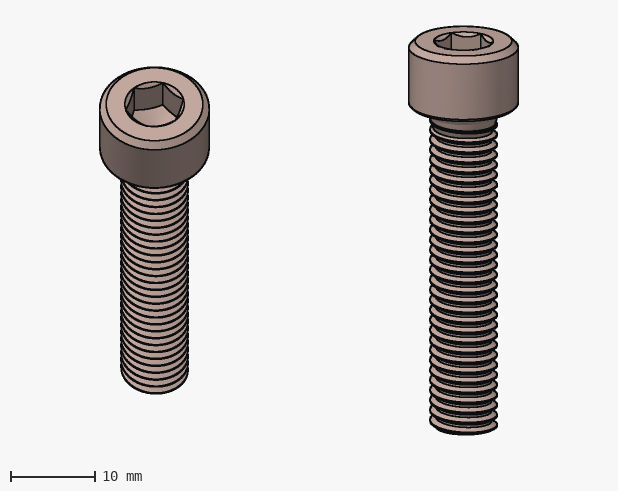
import cadquery as cq
import math

TOTAL_LENGTH = 48.0

HEAD_DIAMETER = 13.0
HEAD_HEIGHT = 8.0
TOP_CHAMFER = 0.75
BOTTOM_CHAMFER = 0.35

SOCKET_FLATS = 6.1
SOCKET_DEPTH = 4.0
SOCKET_TIP_ANGLE = 120.0
MOUTH_ANGLE = 90.0

PITCH = 1.25
CREST_RADIUS = 4.0
ROOT_RADIUS = 3.3
CREST_FLAT = PITCH / 8
FLANK_ANGLE = 30.0
CREST_HEIGHT = 0.65
TURNS_BELOW = 1.5
TURNS_ABOVE = 30.1
ROOT_OVERLAP = 0.15

NECK_TOP_RADIUS = 4.6
WAIST_RADIUS = 4.05
FILLET_DEPTH = 1.15
NECK_DEPTH = 3.35
RUNOUT_BOW = 0.1
FILLET_BOW = 0.025

UNDERHEAD = TOTAL_LENGTH - HEAD_HEIGHT


def make_blank():
    """Head, neck and thread core as one turned body."""
    head_radius = HEAD_DIAMETER / 2
    neck_end = UNDERHEAD - NECK_DEPTH
    fillet_end = UNDERHEAD - FILLET_DEPTH
    return (
        cq.Workplane("XZ")
        .moveTo(0, 0)
        .lineTo(ROOT_RADIUS, 0)
        .lineTo(ROOT_RADIUS, neck_end)
        .sagittaArc((WAIST_RADIUS, fillet_end), -RUNOUT_BOW)
        .sagittaArc((NECK_TOP_RADIUS, UNDERHEAD), FILLET_BOW)
        .lineTo(head_radius - BOTTOM_CHAMFER, UNDERHEAD)
        .lineTo(head_radius, UNDERHEAD + BOTTOM_CHAMFER)
        .lineTo(head_radius, TOTAL_LENGTH - TOP_CHAMFER)
        .lineTo(head_radius - TOP_CHAMFER, TOTAL_LENGTH)
        .lineTo(0, TOTAL_LENGTH)
        .close()
        .revolve(360, (0, 0, 0), (0, 1, 0))
    )


def make_ridge():
    """Helical ridge, started low and trimmed at the end face."""
    start_z = CREST_HEIGHT - TURNS_BELOW * PITCH
    ridge_length = (TURNS_BELOW + TURNS_ABOVE) * PITCH
    base_radius = ROOT_RADIUS - ROOT_OVERLAP
    half_crest = CREST_FLAT / 2
    half_base = half_crest + (CREST_RADIUS - base_radius) * math.tan(math.radians(FLANK_ANGLE))

    helix = cq.Wire.makeHelix(PITCH, ridge_length, ROOT_RADIUS, lefthand=True)
    ridge = (
        cq.Workplane("XZ")
        .polyline(
            [
                (base_radius, -half_base),
                (CREST_RADIUS, -half_crest),
                (CREST_RADIUS, half_crest),
                (base_radius, half_base),
            ]
        )
        .close()
        .sweep(cq.Workplane(helix), isFrenet=True)
        .translate((0, 0, start_z))
    )
    below_end = cq.Workplane("XY").circle(HEAD_DIAMETER).extrude(-TOTAL_LENGTH)
    return ridge.cut(below_end)


def make_socket():
    """Hexagon socket with a conical floor and a countersunk mouth."""
    corner_radius = SOCKET_FLATS / 2 / math.cos(math.radians(30))
    tip_height = corner_radius / math.tan(math.radians(SOCKET_TIP_ANGLE / 2))
    mouth_depth = corner_radius / math.tan(math.radians(MOUTH_ANGLE / 2))
    floor_z = TOTAL_LENGTH - SOCKET_DEPTH

    hexagon = (
        cq.Workplane("XY", origin=(0, 0, TOTAL_LENGTH))
        .polygon(6, 2 * corner_radius)
        .extrude(-SOCKET_DEPTH - tip_height)
        .rotate((0, 0, 0), (0, 0, 1), 30)
    )
    pointed_bore = (
        cq.Workplane("XZ")
        .polyline(
            [
                (0, floor_z - tip_height),
                (corner_radius, floor_z),
                (corner_radius, TOTAL_LENGTH),
                (0, TOTAL_LENGTH),
            ]
        )
        .close()
        .revolve(360, (0, 0, 0), (0, 1, 0))
    )
    mouth = (
        cq.Workplane("XZ")
        .polyline([(0, TOTAL_LENGTH), (corner_radius, TOTAL_LENGTH), (0, TOTAL_LENGTH - mouth_depth)])
        .close()
        .revolve(360, (0, 0, 0), (0, 1, 0))
    )
    return hexagon.intersect(pointed_bore).union(mouth)


result = make_blank().cut(make_socket()).union(make_ridge())